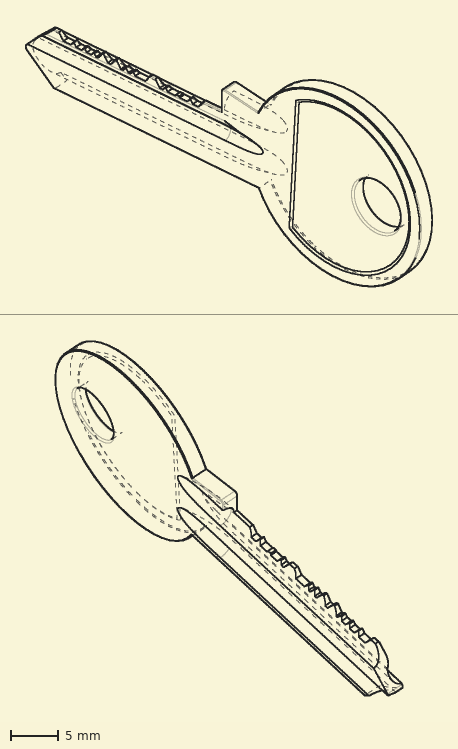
import cadquery as cq
import math

LENGTH = 54.6
THICKNESS = 2.0
FRONT = -THICKNESS / 2
BACK = THICKNESS / 2
EDGE_ROUNDING = 0.1
BOW_DIAMETER = 23.5
BOW_RADIUS = BOW_DIAMETER / 2

TIP_X = BOW_RADIUS - LENGTH
TIP_Z = -1.3
TIP_RADIUS = 0.5
UPPER_BEVEL_ANGLE = math.radians(44)
LOWER_BEVEL_ANGLE = math.radians(41)
SHANK_TOP = 2.7
SHANK_BOTTOM = -4.95
SHOULDER_X = -15.8
SHOULDER_TOP = 5.7
SHOULDER_DROP = 0.8
SHOULDER_RADIUS = 0.4

NOTCH_FLOOR = 1.8
FULL_HEIGHT = SHANK_TOP - NOTCH_FLOOR
MIDDLE_HEIGHT = 0.5
LOW_HEIGHT = 0.355
STUB_HEIGHT = 0.135
FLANK_RUN = 0.7
FIRST_CREST_END = -38.2
LAST_CREST_START = -18.35
TEETH = [
    (-36.2, MIDDLE_HEIGHT, 0.05),
    (-34.7, LOW_HEIGHT, 0.15),
    (-33.4, LOW_HEIGHT, 0.15),
    (-32.15, FULL_HEIGHT, 0.15),
    (-30.35, FULL_HEIGHT, 0.15),
    (-29.0, MIDDLE_HEIGHT, 0.05),
    (-28.0, LOW_HEIGHT, 0.15),
    (-25.25, FULL_HEIGHT, 0.75),
    (-23.5, LOW_HEIGHT, 0.15),
    (-21.85, STUB_HEIGHT, 0.45),
    (-20.1, MIDDLE_HEIGHT, 0.05),
]

CUTTER_RADIUS = 16.4
RUN_OUT_X = -15.3
FRONT_GROOVE_RADIUS = 0.9
FRONT_GROOVE_TOP = 1.65
FRONT_GROOVE_RIDGE = 0.6
BACK_GROOVE_RADIUS = 1.55
BACK_GROOVE_Z = 2.75
OVERSHOOT = 0.55

HOLE_DIAMETER = 6.5
HOLE_X = 5.5
HOLE_ROUNDING = 0.2
RECESS_RADIUS = 10.35
RECESS_DEPTH = 0.15
RECESS_WALL_RUN = 0.35
RECESS_EDGE_X = -5.95
RECESS_EDGE_TILT = 3.1
RECESS_CORNER_RADIUS = 0.45


def plate(sketch):
    """Extrude a closed XZ outline through the full thickness."""
    return sketch.extrude(THICKNESS / 2, both=True)


def notches():
    """Material removed from the top edge to leave the row of teeth."""
    points = [
        (FIRST_CREST_END, SHANK_TOP),
        (FIRST_CREST_END + FLANK_RUN * FULL_HEIGHT, NOTCH_FLOOR),
    ]
    for x, height, crest in TEETH:
        half_crest = crest / 2
        half_base = half_crest + FLANK_RUN * height
        points.append((x - half_base, NOTCH_FLOOR))
        points.append((x - half_crest, NOTCH_FLOOR + height))
        points.append((x + half_crest, NOTCH_FLOOR + height))
        points.append((x + half_base, NOTCH_FLOOR))
    points.append((LAST_CREST_START - FLANK_RUN * FULL_HEIGHT, NOTCH_FLOOR))
    points.append((LAST_CREST_START, SHANK_TOP))
    above = SHANK_TOP + OVERSHOOT
    points.append((LAST_CREST_START, above))
    points.append((FIRST_CREST_END, above))
    return plate(cq.Workplane("XZ").polyline(points).close())


def bevel_line(angle, edge_z):
    """Start on the tip round and end on the shank edge at edge_z of a bevel at this angle to X."""
    side = math.copysign(1, edge_z - TIP_Z)
    start_x = TIP_X + TIP_RADIUS * (1 - math.sin(angle))
    start_z = TIP_Z + side * TIP_RADIUS * math.cos(angle)
    end_x = start_x + abs(edge_z - start_z) / math.tan(angle)
    return (start_x, start_z), (end_x, edge_z)


def shank():
    """Shank with its bevelled tip and the shoulder, reaching into the bow."""
    upper_start, upper_end = bevel_line(UPPER_BEVEL_ANGLE, SHANK_TOP)
    lower_start, lower_end = bevel_line(LOWER_BEVEL_ANGLE, SHANK_BOTTOM)
    neck_z = SHOULDER_TOP - SHOULDER_DROP
    neck_x = -math.sqrt(BOW_RADIUS**2 - neck_z**2)
    outline = (
        cq.Workplane("XZ")
        .moveTo(*upper_start)
        .lineTo(*upper_end)
        .lineTo(SHOULDER_X, SHANK_TOP)
        .lineTo(SHOULDER_X, SHOULDER_TOP)
        .lineTo(neck_x, neck_z)
        .lineTo(0, 0)
        .lineTo(0, SHANK_BOTTOM)
        .lineTo(*lower_end)
        .lineTo(*lower_start)
        .threePointArc((TIP_X, TIP_Z), upper_start)
        .close()
    )
    shoulder_corner = cq.selectors.NearestToPointSelector((SHOULDER_X, 0, SHOULDER_TOP))
    return plate(outline).edges(shoulder_corner).fillet(SHOULDER_RADIUS)


def blank():
    """Bow and shank with rounded face edges; the tip bevels stay sharp."""
    bow = plate(cq.Workplane("XZ").circle(BOW_RADIUS))
    _, bevel_end = bevel_line(UPPER_BEVEL_ANGLE, SHANK_TOP)
    behind_bevels = cq.selectors.BoxSelector(
        (bevel_end[0], -THICKNESS, -BOW_RADIUS),
        (BOW_RADIUS, THICKNESS, BOW_RADIUS),
    )
    face_edges = bow.union(shank()).faces("<Y or >Y").edges(behind_bevels)
    return face_edges.fillet(EDGE_ROUNDING)


def groove_cutter(profile, axis_y):
    """Run a YZ groove profile from the tip to RUN_OUT_X and end it in a disc about axis_y."""
    straight = profile.extrude(TIP_X - OVERSHOOT - RUN_OUT_X)
    disc = profile.toPending().revolve(360, (axis_y, 0), (axis_y, 1))
    return straight.union(disc)


def front_groove():
    """Round channel whose upper side rolls out to the front face in a convex arc."""
    ridge_y = FRONT + math.sqrt(FRONT_GROOVE_RADIUS**2 - FRONT_GROOVE_RIDGE**2)
    face_to_ridge = ridge_y - FRONT
    roll_height = FRONT_GROOVE_TOP - FRONT_GROOVE_RIDGE
    roll_radius = (roll_height**2 + face_to_ridge**2) / (2 * face_to_ridge)
    profile = (
        cq.Workplane("YZ", origin=(RUN_OUT_X, 0, 0))
        .moveTo(FRONT - OVERSHOOT, FRONT_GROOVE_TOP)
        .lineTo(FRONT, FRONT_GROOVE_TOP)
        .radiusArc((ridge_y, FRONT_GROOVE_RIDGE), -roll_radius)
        .threePointArc((FRONT + FRONT_GROOVE_RADIUS, 0), (FRONT, -FRONT_GROOVE_RADIUS))
        .lineTo(FRONT - OVERSHOOT, -FRONT_GROOVE_RADIUS)
        .close()
    )
    return groove_cutter(profile, FRONT + FRONT_GROOVE_RADIUS - CUTTER_RADIUS)


def back_groove(center_z):
    """Half-round channel centred on the back face."""
    profile = (
        cq.Workplane("YZ", origin=(RUN_OUT_X, 0, 0))
        .moveTo(BACK + OVERSHOOT, center_z - BACK_GROOVE_RADIUS)
        .lineTo(BACK, center_z - BACK_GROOVE_RADIUS)
        .threePointArc(
            (BACK - BACK_GROOVE_RADIUS, center_z),
            (BACK, center_z + BACK_GROOVE_RADIUS),
        )
        .lineTo(BACK + OVERSHOOT, center_z + BACK_GROOVE_RADIUS)
        .close()
    )
    return groove_cutter(profile, BACK - BACK_GROOVE_RADIUS + CUTTER_RADIUS)


def recess():
    """Shallow round pocket in the front of the bow, cut off by a tilted straight side."""
    disc = (
        cq.Workplane("XZ", origin=(0, FRONT - OVERSHOOT, 0))
        .circle(RECESS_RADIUS)
        .extrude(-RECESS_DEPTH - OVERSHOOT)
    )
    keep = (
        cq.Workplane("XY")
        .box(2 * RECESS_RADIUS, THICKNESS * 2, 3 * RECESS_RADIUS)
        .translate((RECESS_RADIUS, 0, 0))
        .rotate((0, 0, 0), (0, 1, 0), RECESS_EDGE_TILT)
        .translate((RECESS_EDGE_X, 0, 0))
    )
    pocket = disc.intersect(keep)
    pocket = pocket.edges("|Y").fillet(RECESS_CORNER_RADIUS)
    return pocket.faces(">Y").chamfer(RECESS_DEPTH, RECESS_WALL_RUN)


def cut_hole(key):
    """Drill the ring hole and round both of its rims."""
    hole = plate(cq.Workplane("XZ").center(HOLE_X, 0).circle(HOLE_DIAMETER / 2))
    around_hole = cq.selectors.BoxSelector(
        (HOLE_X - HOLE_DIAMETER, -THICKNESS, -HOLE_DIAMETER),
        (HOLE_X + HOLE_DIAMETER, THICKNESS, HOLE_DIAMETER),
        boundingbox=True,
    )
    return key.cut(hole).edges(around_hole).edges("%CIRCLE").fillet(HOLE_ROUNDING)


key = blank().cut(notches()).cut(front_groove())
for side in (-1, 1):
    key = key.cut(back_groove(side * BACK_GROOVE_Z))
result = cut_hole(key.cut(recess()))